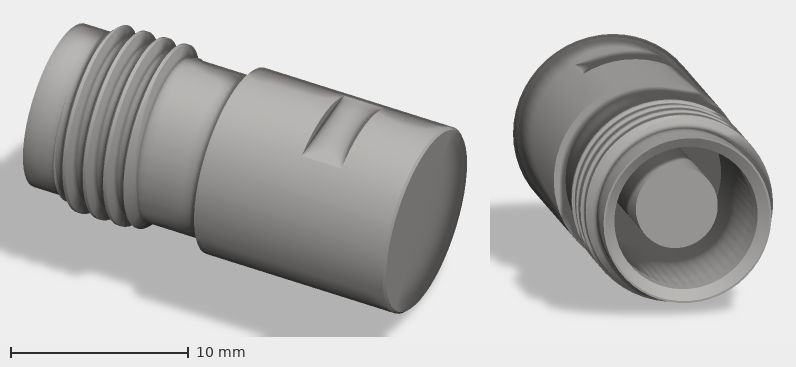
import cadquery as cq

length = 22.85
body_diameter = 11.0
body_radius = body_diameter / 2
neck_radius = 4.82
shoulder_x = 10.97
end_chamfer = 0.14

flat_start = 16.41
flat_end = 18.88
flat_height = 4.73

mouth_radius = 4.7
bore_radius = 4.11
mouth_chamfer_depth = 0.43
bore_depth = shoulder_x
pin_radius = 2.35
pin_start = 3.09

thread_start = 1.85
thread_end = 7.13
thread_radius = 5.46
first_crest_x = 2.55
last_crest_x = 6.35
crest_gaps = 3
thread_pitch = (last_crest_x - first_crest_x) / crest_gaps
lead_in_turns = 2
crest_width = 0.2
base_width = 0.94
thread_overlap = 0.07


def cylinder(radius, start, end):
    """Cylinder along X between two axial positions."""
    return cq.Workplane("YZ", origin=(start, 0, 0)).circle(radius).extrude(end - start)


def make_body():
    """Neck and larger barrel, with the flats cut across the barrel."""
    barrel = cylinder(body_radius, shoulder_x, length).faces(">X").chamfer(end_chamfer)
    flat_length = flat_end - flat_start
    flat_cut_depth = body_radius
    for side in (1, -1):
        cutter = cq.Workplane().box(flat_length, 2 * body_radius, flat_cut_depth)
        center_z = side * (flat_height + flat_cut_depth / 2)
        barrel = barrel.cut(cutter.translate((flat_start + flat_length / 2, 0, center_z)))
    return cylinder(neck_radius, 0, shoulder_x).union(barrel)


def make_bore():
    """Blind bore with a flared mouth, leaving the centre pin standing."""
    profile = [
        (0, 0),
        (0, mouth_radius),
        (mouth_chamfer_depth, bore_radius),
        (bore_depth, bore_radius),
        (bore_depth, 0),
    ]
    bore = cq.Workplane("XY").polyline(profile).close().revolve(360, (0, 0, 0), (1, 0, 0))
    return bore.cut(cylinder(pin_radius, pin_start, bore_depth))


def make_thread():
    """Helical ridge on a core, trimmed to the threaded length, with 45 degree ends."""
    ridge_start = first_crest_x - lead_in_turns * thread_pitch
    ridge_length = thread_end + thread_pitch - ridge_start
    root_radius = neck_radius - thread_overlap
    path = cq.Wire.makeHelix(thread_pitch, ridge_length, neck_radius)
    profile = [
        (root_radius, -base_width / 2),
        (thread_radius, -crest_width / 2),
        (thread_radius, crest_width / 2),
        (root_radius, base_width / 2),
    ]
    ridge = cq.Workplane("XZ").polyline(profile).close().sweep(cq.Workplane(obj=path), isFrenet=True)
    ridge = ridge.rotate((0, 0, 0), (0, 1, 0), 90).rotate((0, 0, 0), (1, 0, 0), 180)
    ridge = ridge.translate((ridge_start, 0, 0))
    core = cylinder(neck_radius, ridge_start - thread_pitch, shoulder_x)
    envelope_radius = thread_radius + thread_overlap
    envelope = cylinder(envelope_radius, thread_start - thread_overlap, thread_end + thread_overlap)
    envelope = envelope.edges().chamfer(envelope_radius - root_radius)
    return core.union(ridge).intersect(envelope)


result = make_body().union(make_thread()).cut(make_bore())